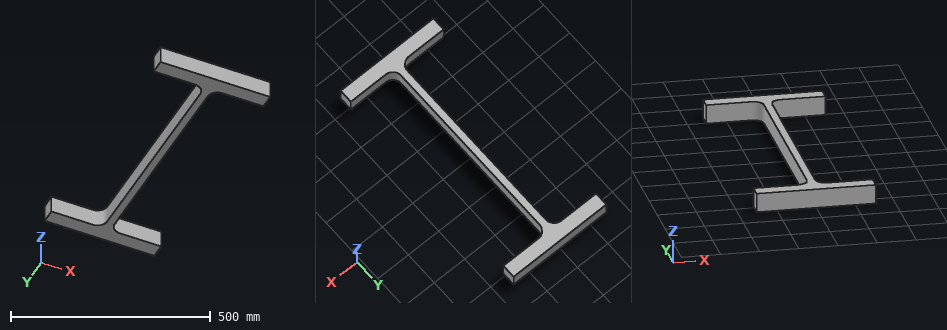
import cadquery as cq

depth = 668.0
flange_width = 305.0
flange_thickness = 40.0
web_thickness = 21.5
root_radius = 27.0
length = 50.0


def flange(side):
    """Flange at the +Y (side = 1) or -Y (side = -1) end of the web."""
    center_y = side * (depth - flange_thickness) / 2
    return cq.Workplane("XY").center(0, center_y).rect(flange_width, flange_thickness).extrude(length)


web = cq.Workplane("XY").rect(web_thickness, depth).extrude(length)
section = web.union(flange(1)).union(flange(-1)).clean()

root_zone = cq.selectors.BoxSelector(
    (-web_thickness, -depth / 2 + flange_thickness / 2, 0),
    (web_thickness, depth / 2 - flange_thickness / 2, length),
)
result = section.edges("|Z").edges(root_zone).fillet(root_radius)